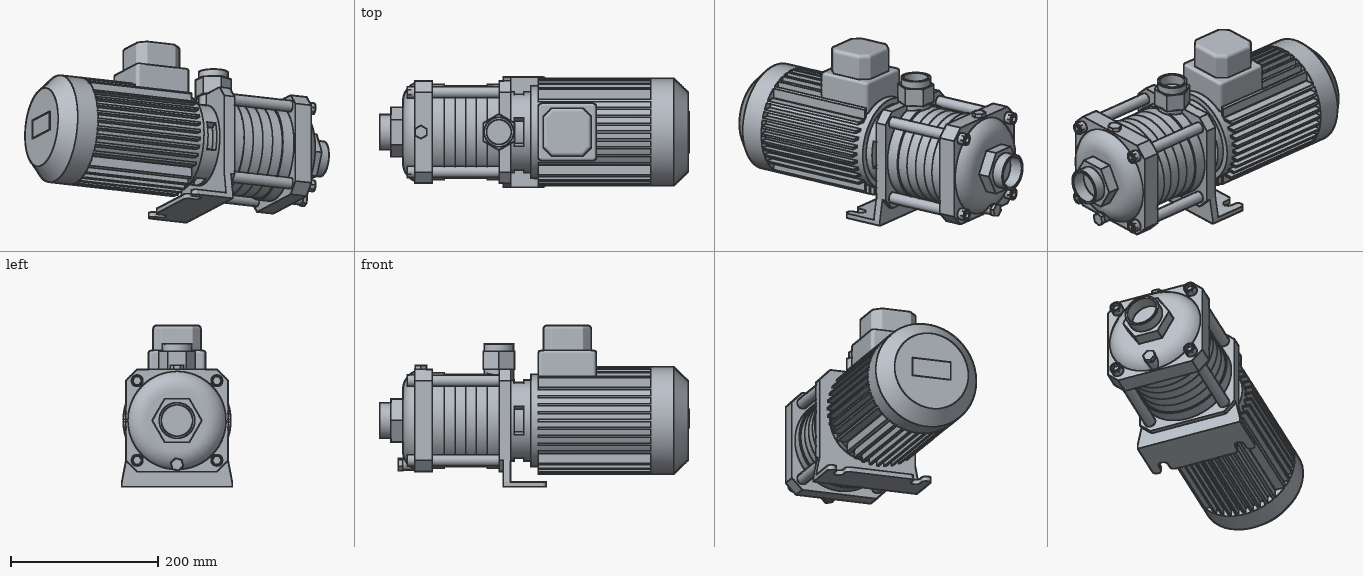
import cadquery as cq
import math


inlet_hex_x = 15.0
head_x = 31.5
front_plate_x = 47.5
front_plate_end_x = 71.5
stages_x = 88.0
stages_end_x = 145.8
rear_plate_x = 162.0
rear_plate_end_x = 177.5
window_x = 182.5
window_end_x = 195.5
flange_x = 205.0
motor_x = 215.0
cowl_x = 368.0
cowl_cone_x = 398.5
cowl_end_x = 419.0
overall_length = 420.0

plate_size = 138.5
plate_chamfer = 15.0
bolt_pitch = 108.0
rod_diameter = 15.0
bolt_head_diameter = 15.5
bolt_head_height = 10.0
socket_across_flats = 11.0
socket_depth = 5.0
thread_depth = 10.0

inlet_diameter = 48.5
inlet_bore = 42.5
inlet_bore_depth = 18.5
inlet_across_flats = 58.5
head_face_diameter = 83.5
head_diameter = 133.0
end_ring_diameter = 130.0

upright_hex_turn = 30.0

plug_across_flats = 15.5
fill_plug_x = 56.0
fill_plug_height = 5.5
drain_plug_x = 25.0
drain_plug_head = 6.0
drain_plug_z = -59.5
drain_neck_diameter = 15.0
drain_hex_turn = 15.0

stage_count = 4
stage_diameter = 125.0
stage_length = (stages_end_x - stages_x) / stage_count

outlet_x = 161.7
outlet_diameter = 40.0
outlet_bore = 33.5
outlet_bore_depth = 14.3
outlet_across_flats = 42.5
outlet_hex_z = plate_size / 2
outlet_hex_end_z = 93.5
outlet_end_z = 103.8

foot_wall_x = 167.5
foot_end_x = 226.0
foot_width = 150.0
foot_top_z = plate_chamfer - plate_size / 2
foot_bottom_z = -90.0
foot_thickness = 6.7
foot_slot_width = 13.5
foot_slot_pitch = 111.7
foot_slot_center_x = 213.5
foot_corner_radius = 6.0

lantern_diameter = 110.0
window_floor_radius = 43.0
window_half_angle = 20.5

core_diameter = 126.0
motor_diameter = 146.0
fin_span = 85.5
fin_thickness = 3.0
fins_each_side = 4
fin_pitch = fin_span / (2 * fins_each_side)
cowl_end_diameter = 107.0
badge_width = 55.5
badge_height = 25.0
badge_z = 3.0

box_base_length = 79.0
box_base_width = 77.7
box_base_bottom_z = 48.7
box_base_top_z = 95.0
box_base_corner_radius = 5.0
box_base_top_radius = 3.8
box_center_x = motor_x + box_base_length / 2
box_cap_size = 65.0
box_cap_top_z = 129.0
box_cap_chamfer = 11.5
box_cap_corner_radius = 2.0
box_cap_top_radius = 5.0


def disc(x_start, x_end, diameter, y=0, z=0):
    """Cylinder along X, on the shaft axis unless y and z move it."""
    return cq.Workplane("YZ", origin=(x_start, y, z)).circle(diameter / 2).extrude(x_end - x_start)


def hexagon(plane, origin, across_flats, height, turn):
    """Hexagonal prism; turn is the angle of its first corner in degrees."""
    corner_radius = across_flats / (2 * math.cos(math.pi / 6))
    angles = [math.radians(turn + 60 * i) for i in range(6)]
    corners = [(corner_radius * math.cos(a), corner_radius * math.sin(a)) for a in angles]
    return cq.Workplane(plane, origin=origin).polyline(corners).close().extrude(height)


def clamping_plate(x_start, x_end):
    """Square plate with chamfered corners."""
    plate = cq.Workplane("YZ", origin=(x_start, 0, 0)).rect(plate_size, plate_size).extrude(x_end - x_start)
    return plate.edges("|X").chamfer(plate_chamfer)


def tie_bolt(y, z):
    """Socket-head bolt that clamps the stages between the two plates."""
    head_start = front_plate_x - bolt_head_height
    head = disc(head_start, front_plate_x, bolt_head_diameter, y, z)
    rod = disc(front_plate_x, rear_plate_x + thread_depth, rod_diameter, y, z)
    socket = hexagon("YZ", (head_start, y, z), socket_across_flats, socket_depth, 0)
    return head.union(rod).cut(socket)


bolt_places = [(y, z) for y in (-bolt_pitch / 2, bolt_pitch / 2) for z in (-bolt_pitch / 2, bolt_pitch / 2)]
tie_bolts = [tie_bolt(y, z) for y, z in bolt_places]


def domed_head():
    """Round head whose front face rolls into the plate with a tangent arc."""
    face_radius = head_face_diameter / 2
    rise = head_diameter / 2 - face_radius
    run = front_plate_x - head_x
    arc_radius = (rise ** 2 + run ** 2) / (2 * run)
    half_angle = math.asin(rise / arc_radius) / 2
    arc_middle = (
        head_x + arc_radius * (1 - math.cos(half_angle)),
        face_radius + arc_radius * math.sin(half_angle),
    )
    profile = (
        cq.Workplane("XY")
        .moveTo(head_x, 0)
        .lineTo(head_x, face_radius)
        .threePointArc(arc_middle, (front_plate_x, head_diameter / 2))
        .lineTo(front_plate_x, 0)
        .close()
    )
    return profile.revolve(360, (0, 0, 0), (1, 0, 0))


def suction_housing():
    """Inlet, domed head, front plate, end ring and the two plugs."""
    body = domed_head().union(clamping_plate(front_plate_x, front_plate_end_x))
    body = body.union(disc(front_plate_end_x, stages_x, end_ring_diameter))
    body = body.union(disc(0, inlet_hex_x, inlet_diameter))
    body = body.union(hexagon("YZ", (inlet_hex_x, 0, 0), inlet_across_flats, head_x - inlet_hex_x, 0))
    body = body.cut(disc(0, inlet_bore_depth, inlet_bore))

    fill_plug_origin = (fill_plug_x, 0, plate_size / 2)
    body = body.union(hexagon("XY", fill_plug_origin, plug_across_flats, fill_plug_height, upright_hex_turn))

    drain_neck_x = drain_plug_x + drain_plug_head
    drain_neck = disc(drain_neck_x, front_plate_x, drain_neck_diameter, 0, drain_plug_z)
    drain_head_origin = (drain_plug_x, 0, drain_plug_z)
    drain_head = hexagon("YZ", drain_head_origin, plug_across_flats, drain_plug_head, drain_hex_turn)
    body = body.union(drain_neck).union(drain_head)

    for bolt_y, bolt_z in bolt_places:
        hole = disc(front_plate_x, front_plate_end_x, rod_diameter, bolt_y, bolt_z)
        head_start = front_plate_x - bolt_head_height
        bolt_head_space = disc(head_start, front_plate_x, bolt_head_diameter, bolt_y, bolt_z)
        body = body.cut(hole).cut(bolt_head_space)
    return body


def stage(index):
    """One stage casing."""
    x_start = stages_x + index * stage_length
    return disc(x_start, x_start + stage_length, stage_diameter)


def outlet():
    """Threaded outlet neck with its hexagon, reaching down to the shaft axis."""
    neck = cq.Workplane("XY", origin=(outlet_x, 0, 0)).circle(outlet_diameter / 2).extrude(outlet_end_z)
    hex_origin = (outlet_x, 0, outlet_hex_z)
    collar = hexagon("XY", hex_origin, outlet_across_flats, outlet_hex_end_z - outlet_hex_z, upright_hex_turn)
    bore = (
        cq.Workplane("XY", origin=(outlet_x, 0, outlet_end_z))
        .circle(outlet_bore / 2)
        .extrude(-outlet_bore_depth)
    )
    return neck.union(collar).cut(bore)


def foot():
    """Angle foot with a flared wall and two open slots in its sole."""
    sole_top_z = foot_bottom_z + foot_thickness
    wall = (
        cq.Workplane("YZ", origin=(foot_wall_x, 0, 0))
        .moveTo(-plate_size / 2, foot_top_z)
        .lineTo(plate_size / 2, foot_top_z)
        .lineTo(foot_width / 2, sole_top_z)
        .lineTo(-foot_width / 2, sole_top_z)
        .close()
        .extrude(rear_plate_end_x - foot_wall_x)
    )
    sole = (
        cq.Workplane("XY", origin=(0, 0, foot_bottom_z))
        .moveTo((foot_wall_x + foot_end_x) / 2, 0)
        .rect(foot_end_x - foot_wall_x, foot_width)
        .extrude(foot_thickness)
    )
    slot_length = foot_end_x - foot_slot_center_x
    for slot_y in (-foot_slot_pitch / 2, foot_slot_pitch / 2):
        slot_plane = cq.Workplane("XY", origin=(foot_slot_center_x, slot_y, foot_bottom_z))
        slot_end = slot_plane.circle(foot_slot_width / 2).extrude(foot_thickness)
        slot_mouth = (
            slot_plane.center(slot_length / 2, 0)
            .rect(slot_length, foot_slot_width)
            .extrude(foot_thickness)
        )
        sole = sole.cut(slot_end).cut(slot_mouth)
    sole = sole.faces(">X").edges("|Z").fillet(foot_corner_radius)
    return wall.union(sole)


def lantern():
    """Round lantern with four windows around it."""
    body = disc(rear_plate_end_x, flange_x, lantern_diameter)
    half_angle = math.radians(window_half_angle)
    reach = lantern_diameter
    half_width = reach * math.tan(half_angle)
    window = (
        cq.Workplane("YZ", origin=(window_x, 0, 0))
        .polyline([(0, 0), (reach, -half_width), (reach, half_width)])
        .close()
        .extrude(window_end_x - window_x)
        .cut(disc(window_x, window_end_x, 2 * window_floor_radius))
    )
    for turn in range(0, 360, 90):
        body = body.cut(window.rotate((0, 0, 0), (1, 0, 0), turn))
    return body


def finned_motor():
    """Motor flange and core with straight fins, closed by a conical cowl."""
    fin_length = cowl_x - motor_x
    fins = disc(motor_x, cowl_x, core_diameter)
    for index in range(-fins_each_side, fins_each_side + 1):
        offset = index * fin_pitch
        plane = cq.Workplane("YZ", origin=(motor_x, 0, 0))
        upright = plane.center(offset, 0).rect(fin_thickness, motor_diameter).extrude(fin_length)
        level = plane.center(0, offset).rect(motor_diameter, fin_thickness).extrude(fin_length)
        fins = fins.union(upright).union(level)
    fins = fins.intersect(disc(motor_x, cowl_x, motor_diameter))

    cowl = (
        cq.Workplane("XY")
        .polyline([
            (cowl_x, 0),
            (cowl_x, motor_diameter / 2),
            (cowl_cone_x, motor_diameter / 2),
            (cowl_end_x, cowl_end_diameter / 2),
            (cowl_end_x, 0),
        ])
        .close()
        .revolve(360, (0, 0, 0), (1, 0, 0))
    )
    badge = (
        cq.Workplane("YZ", origin=(cowl_end_x, 0, badge_z))
        .rect(badge_width, badge_height)
        .extrude(overall_length - cowl_end_x)
    )
    return disc(flange_x, motor_x, core_diameter).union(fins).union(cowl).union(badge)


def terminal_box():
    """Rounded box base with a smaller cap whose corners are cut off."""
    base = (
        cq.Workplane("XY", origin=(box_center_x, 0, box_base_bottom_z))
        .rect(box_base_length, box_base_width)
        .extrude(box_base_top_z - box_base_bottom_z)
    )
    base = base.edges("|Z").fillet(box_base_corner_radius)
    base = base.faces(">Z").edges().fillet(box_base_top_radius)
    cap = (
        cq.Workplane("XY", origin=(box_center_x, 0, box_base_top_z))
        .rect(box_cap_size, box_cap_size)
        .extrude(box_cap_top_z - box_base_top_z)
    )
    cap = cap.edges("|Z").chamfer(box_cap_chamfer)
    cap = cap.edges("|Z").fillet(box_cap_corner_radius)
    cap = cap.faces(">Z").edges().fillet(box_cap_top_radius)
    return base.union(cap)


def drive_unit():
    """Discharge bracket and motor in one body."""
    body = clamping_plate(rear_plate_x, rear_plate_end_x)
    body = body.union(disc(stages_end_x, rear_plate_x, end_ring_diameter))
    body = body.union(outlet()).cut(disc(stages_x, stages_end_x, stage_diameter))
    body = body.union(foot()).union(lantern()).union(finned_motor()).union(terminal_box())
    for bolt_y, bolt_z in bolt_places:
        thread_hole = disc(rear_plate_x, rear_plate_x + thread_depth, rod_diameter, bolt_y, bolt_z)
        body = body.cut(thread_hole)
    return body


stages = [stage(index) for index in range(stage_count)]

result = cq.Compound.makeCompound([
    suction_housing().val(),
    *[casing.val() for casing in stages],
    *[bolt.val() for bolt in tie_bolts],
    drive_unit().val(),
])